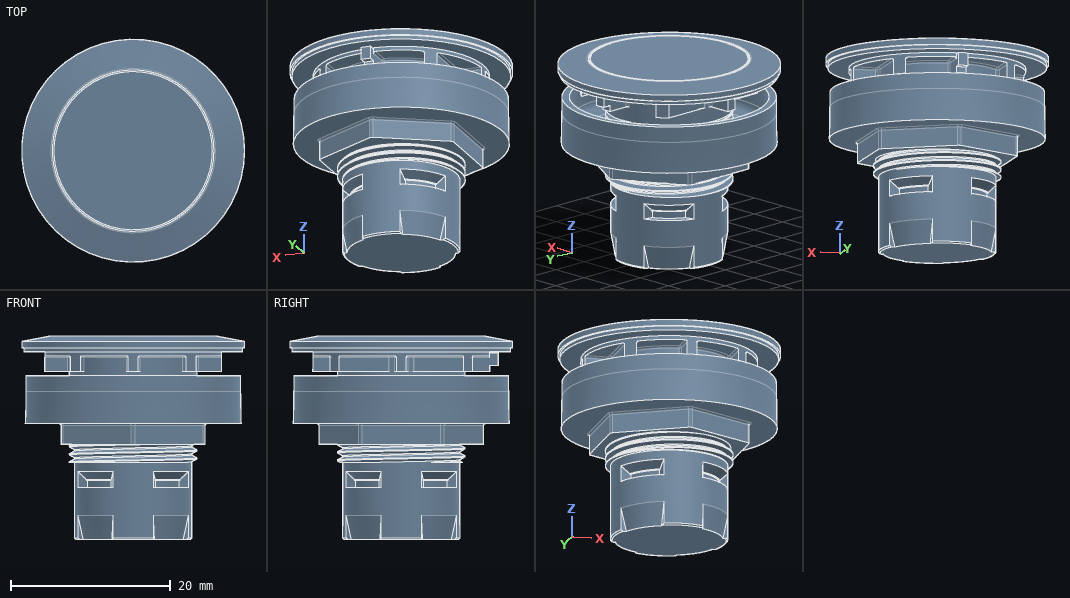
import cadquery as cq
import math

WINDOW_BOTTOM = 6.5
WINDOW_FLOOR_TOP = 7.4
WINDOW_TOP = 8.5
NOTCH_TOP = 3.0
THREAD_BOTTOM = 9.67
THREAD_TOP = 19.0
HEX_BOTTOM = 11.9
COLLAR_BOTTOM = 14.5
CLEARANCE_BOTTOM = 15.0
BOWL_FLOOR = 16.0
COLLAR_SEAM = 18.5
COLLAR_TOP = 20.5
RIB_BOTTOM = 21.0
RIB_CEILING = 23.0
CAP_BOTTOM = 23.5
CAP_STEP = 24.0
CAP_EDGE_TOP = 24.8
CAP_TOP = 25.5

CUT_OVERSHOOT = 1.0
TOLERANCE = 0.001

BODY_RADIUS = 14.7 / 2
BODY_CHAMFER = 0.2
POCKET_COUNT = 4
POCKET_FIRST_ANGLE = 45
POCKET_HALF_WIDTH = 3.1
POCKET_SIDE_SLOPE = 1.55
WINDOW_FLOOR_RADIUS = 6.35
WINDOW_STEP = 0.1
NOTCH_BOTTOM_RADIUS = 6.8

THREAD_RADIUS = 16 / 2
THREAD_PITCH = 1.0
THREAD_START = 8.16
THREAD_TURNS = 12
THREAD_CREST_WIDTH = 0.12
THREAD_BASE_WIDTH = 0.96
THREAD_OVERLAP = 0.1

HEX_SIDES = 6
HEX_ACROSS_FLATS = 18.0
HEX_CORNER_RADIUS = 0.5
HEX_FLARE = 0.25
COLLAR_TOP_RADIUS = 26.86 / 2
COLLAR_SEAM_RADIUS = 26.91 / 2
COLLAR_BOTTOM_RADIUS = 27.05 / 2
BOWL_RADIUS = 25 / 2
BOWL_FILLET = 1.5
CLEARANCE_RADIUS = 16.5 / 2

STEM_RADIUS = 16 / 2
RIB_CIRCLE_RADIUS = 22.15 / 2
RIB_BLANK_RADIUS = RIB_CIRCLE_RADIUS + 2.0
DISC_BLANK_RADIUS = RIB_BLANK_RADIUS + 1.0
RIB_WIDTH = 1.25
SIDE_RIB_OFFSET = 7.225
RIB_FILLET = 0.25
TAB_REACH = 12.15
TAB_BOTTOM = 21.75
TAB_TOP = 23.35
CAP_RADIUS = 27.9 / 2
CAP_STEP_RADIUS = 27.4 / 2
CAP_FLAT_RADIUS = 10.28
GROOVE_OUTER_RADIUS = 10.1
GROOVE_INNER_RADIUS = 9.9
GROOVE_DEPTH = 0.2


def cylinder(radius, bottom, top):
    return cq.Workplane("XY").workplane(offset=bottom).circle(radius).extrude(top - bottom)


def revolve_profile(points):
    """Revolve a closed (radius, height) outline about Z."""
    return cq.Workplane("XZ").polyline(points).close().revolve(360, (0, 0, 0), (0, 1, 0))


def lies_at_height(edge, height):
    return abs(edge.Center().z - height) < TOLERANCE


def pocket_wedge(height):
    """Prism along +X whose side walls close in towards the axis."""
    mouth_distance = math.sqrt(BODY_RADIUS**2 - POCKET_HALF_WIDTH**2)
    outer = BODY_RADIUS + CUT_OVERSHOOT
    inner = mouth_distance - POCKET_HALF_WIDTH / POCKET_SIDE_SLOPE
    outer_half_width = (outer - inner) * POCKET_SIDE_SLOPE
    corners = [(inner, 0), (outer, -outer_half_width), (outer, outer_half_width)]
    return cq.Workplane("XY").polyline(corners).close().extrude(height)


def body_pockets():
    """One window above one open-ended notch, both facing +X."""
    outer = BODY_RADIUS + CUT_OVERSHOOT
    step_radius = WINDOW_FLOOR_RADIUS + WINDOW_STEP
    step_top = WINDOW_FLOOR_TOP + WINDOW_STEP
    roof_slope = (WINDOW_TOP - step_top) / (BODY_RADIUS - step_radius)
    window = revolve_profile([
        (WINDOW_FLOOR_RADIUS, WINDOW_BOTTOM),
        (outer, WINDOW_BOTTOM),
        (outer, WINDOW_TOP + roof_slope * CUT_OVERSHOOT),
        (step_radius, step_top),
        (step_radius, WINDOW_FLOOR_TOP),
        (WINDOW_FLOOR_RADIUS, WINDOW_FLOOR_TOP),
    ])
    notch = revolve_profile([
        (NOTCH_BOTTOM_RADIUS, 0),
        (outer, 0),
        (outer, NOTCH_TOP),
        (BODY_RADIUS, NOTCH_TOP),
    ])
    wedge = pocket_wedge(COLLAR_BOTTOM)
    return window.intersect(wedge), notch.intersect(wedge)


def make_body():
    """Round body with pockets, continued upwards as the core of the thread."""
    body = cylinder(BODY_RADIUS, 0, THREAD_TOP).faces("<Z").chamfer(BODY_CHAMFER)
    window, notch = body_pockets()
    for index in range(POCKET_COUNT):
        angle = POCKET_FIRST_ANGLE + index * 360 / POCKET_COUNT
        for pocket in (window, notch):
            body = body.cut(pocket.rotate((0, 0, 0), (0, 0, 1), angle))
    return body


def make_thread():
    """Right-handed ridge wound on the body, trimmed flat at both ends."""
    base_radius = BODY_RADIUS - THREAD_OVERLAP
    helix = cq.Wire.makeHelix(THREAD_PITCH, THREAD_TURNS * THREAD_PITCH, BODY_RADIUS)
    ridge = (
        cq.Workplane("XZ")
        .polyline([
            (base_radius, -THREAD_BASE_WIDTH / 2),
            (THREAD_RADIUS, -THREAD_CREST_WIDTH / 2),
            (THREAD_RADIUS, THREAD_CREST_WIDTH / 2),
            (base_radius, THREAD_BASE_WIDTH / 2),
        ])
        .close()
        .sweep(cq.Workplane(helix), isFrenet=True)
        .translate((0, 0, THREAD_START))
    )
    envelope = cylinder(THREAD_RADIUS + CUT_OVERSHOOT, THREAD_BOTTOM, THREAD_TOP)
    return ridge.intersect(envelope)


def make_hexagon():
    """Hexagon with rounded corners and flats facing +X and -X."""
    across_corners = 2 * HEX_ACROSS_FLATS / math.sqrt(3)
    return (
        cq.Workplane("XY")
        .workplane(offset=HEX_BOTTOM)
        .transformed(rotate=(0, 0, 90))
        .polygon(HEX_SIDES, across_corners)
        .extrude(COLLAR_BOTTOM - HEX_BOTTOM)
        .edges("|Z")
        .fillet(HEX_CORNER_RADIUS)
    )


def make_collar():
    """Tapered collar on a flared hexagon, hollowed by a bowl around the thread."""
    collar = revolve_profile([
        (0, COLLAR_BOTTOM),
        (COLLAR_BOTTOM_RADIUS, COLLAR_BOTTOM),
        (COLLAR_SEAM_RADIUS, COLLAR_SEAM),
        (COLLAR_TOP_RADIUS, COLLAR_TOP),
        (0, COLLAR_TOP),
    ])
    collar = collar.union(make_hexagon())
    joint = collar.edges("%LINE").filter(lambda edge: lies_at_height(edge, COLLAR_BOTTOM))
    collar = joint.fillet(HEX_FLARE)
    bowl = cylinder(BOWL_RADIUS, BOWL_FLOOR, COLLAR_TOP).faces("<Z").edges().fillet(BOWL_FILLET)
    clearance = cylinder(CLEARANCE_RADIUS, CLEARANCE_BOTTOM, COLLAR_TOP)
    return collar.cut(bowl).cut(clearance)


def make_rib(center_x, angle):
    """Straight rib along +Y, shifted sideways by center_x, then turned about Z."""
    rib = (
        cq.Workplane("XY")
        .workplane(offset=RIB_BOTTOM)
        .center(center_x, RIB_BLANK_RADIUS / 2)
        .rect(RIB_WIDTH, RIB_BLANK_RADIUS)
        .extrude(CAP_BOTTOM - RIB_BOTTOM)
    )
    return rib.rotate((0, 0, 0), (0, 0, 1), angle)


def midpoint_radius(edge):
    middle = edge.positionAt(0.5)
    return math.hypot(middle.x, middle.y)


def is_rib_root(edge):
    return abs(midpoint_radius(edge) - STEM_RADIUS) < TOLERANCE


def is_ceiling_corner(edge):
    inside_rim = midpoint_radius(edge) < DISC_BLANK_RADIUS - TOLERANCE
    return inside_rim and lies_at_height(edge, RIB_CEILING)


def make_plunger():
    """Stem with eight ribs hanging under a disc, filleted where they meet.

    Ribs and disc start oversize so that the fillets run out cleanly at the rim.
    """
    plunger = cylinder(STEM_RADIUS, RIB_BOTTOM, CAP_BOTTOM)
    ribs = [(0, angle) for angle in (0, 90, 180, 270)]
    ribs += [(side * SIDE_RIB_OFFSET, angle) for side in (-1, 1) for angle in (0, 180)]
    for center_x, angle in ribs:
        plunger = plunger.union(make_rib(center_x, angle))
    plunger = plunger.edges("|Z").filter(is_rib_root).fillet(RIB_FILLET)
    plunger = plunger.union(cylinder(DISC_BLANK_RADIUS, RIB_CEILING, CAP_BOTTOM))
    plunger = plunger.edges().filter(is_ceiling_corner).fillet(RIB_FILLET)
    return plunger.intersect(cylinder(RIB_CIRCLE_RADIUS, RIB_BOTTOM, CAP_BOTTOM))


def make_cap():
    """Shallow conical disc with a fine ring groove in its flat top."""
    return revolve_profile([
        (0, CAP_BOTTOM),
        (CAP_STEP_RADIUS, CAP_BOTTOM),
        (CAP_STEP_RADIUS, CAP_STEP),
        (CAP_RADIUS, CAP_STEP),
        (CAP_RADIUS, CAP_EDGE_TOP),
        (CAP_FLAT_RADIUS, CAP_TOP),
        (GROOVE_OUTER_RADIUS, CAP_TOP),
        (GROOVE_OUTER_RADIUS, CAP_TOP - GROOVE_DEPTH),
        (GROOVE_INNER_RADIUS, CAP_TOP - GROOVE_DEPTH),
        (GROOVE_INNER_RADIUS, CAP_TOP),
        (0, CAP_TOP),
    ])


def make_tab():
    """Key that reaches out past the end of the +Y rib."""
    return (
        cq.Workplane("XY")
        .workplane(offset=TAB_BOTTOM)
        .center(0, (STEM_RADIUS + TAB_REACH) / 2)
        .rect(RIB_WIDTH, TAB_REACH - STEM_RADIUS)
        .extrude(TAB_TOP - TAB_BOTTOM)
    )


plain_stem = cylinder(STEM_RADIUS, THREAD_TOP, CAP_BOTTOM)
result = make_body().union(make_thread()).union(make_collar())
result = result.union(plain_stem).union(make_plunger()).union(make_tab()).union(make_cap())